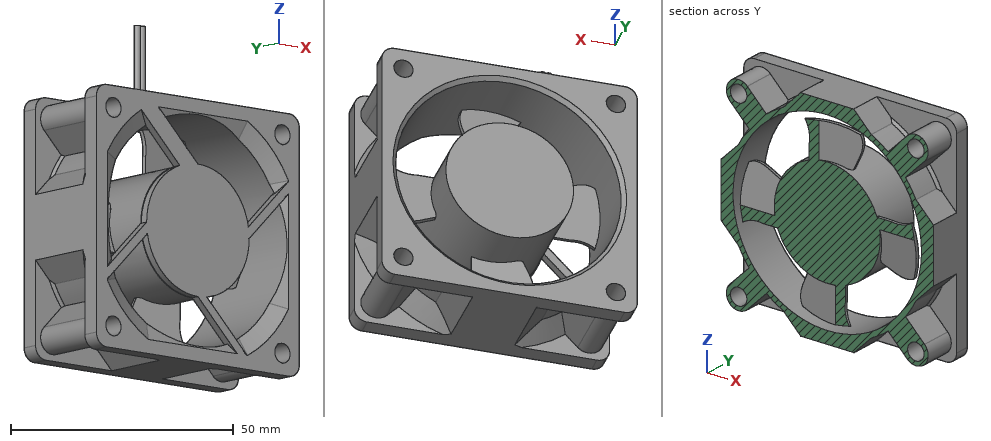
import cadquery as cq
import math


frame_side = 60.0
frame_depth = 25.0
frame_corner_radius = 3.0
flange_thickness = 4.0
wall_outer_half_width = 7.5
wall_inner_reach = 22.5
screw_offset = 25.0
screw_hole_radius = 2.25
post_radius = 3.5

bore_radius = 26.5
duct_radius = 28.0
front_flare_start = 9.1
front_flare_slope = 0.67
rear_flare_length = 0.9
rear_flare_growth = 0.45
bell_depth = 1.9
bell_radius = 30.5
bell_half_side = 26.8
rear_chamfer = 1.0

hub_radius = 15.15
rotor_radius = 15.0
strut_thickness = 2.0
strut_outer_offset = hub_radius / math.sqrt(2)
strut_width = 2.0
strut_angles = (45, -45, 135)
cable_arm_width = 4.5
cable_arm_angle = 225
strut_end = 30.75

blade_count = 4
blade_tip_radius = 24.7
blade_thickness = 1.0
blade_pitch = 8.5
blade_y = 12.8
leading_half_width = 5.2
leading_straight_end = 18.0
leading_middle = (-5.3, 21.6)
leading_tip_x = -6.3
trailing_tip_x = 8.25
trailing_curve = [(8.85, 20.6), (8.55, 19.05), (6.45, 14.2)]
blade_root = 13.5

wire_radius = 0.75
wire_spacing = 1.4
wire_x = -15.45
wire_y = 2.0
wire_length = 15.0
wire_embed = 0.75

half_side = frame_side / 2
rear_flange_y = frame_depth - flange_thickness


def front_plane(y):
    """Plane across the fan axis at depth y, with local axes along X and Z."""
    return cq.Workplane("XZ", origin=(0, y, 0))


def about_axis(shape, degrees):
    return shape.rotate((0, 0, 0), (0, 1, 0), degrees)


def square_block(y, depth):
    block = front_plane(y).rect(frame_side, frame_side).extrude(-depth)
    return block.edges("|Y").fillet(frame_corner_radius)


def duct_wall():
    """Solid of revolution following the outside of the duct between the flanges."""
    front_growth = (front_flare_start - flange_thickness) * front_flare_slope
    profile = [
        (0, flange_thickness),
        (duct_radius + front_growth, flange_thickness),
        (duct_radius, front_flare_start),
        (duct_radius, rear_flange_y - rear_flare_length),
        (duct_radius + rear_flare_growth, rear_flange_y),
        (0, rear_flange_y),
    ]
    return cq.Workplane("XY").polyline(profile).close().revolve(360, (0, 0), (0, 1))


def side_wall(length):
    """Wall at the middle of the top side, widening inward at 45 degrees."""
    inner_half_width = wall_outer_half_width + half_side - wall_inner_reach
    outline = [
        (-wall_outer_half_width, half_side),
        (wall_outer_half_width, half_side),
        (inner_half_width, wall_inner_reach),
        (-inner_half_width, wall_inner_reach),
    ]
    return front_plane(flange_thickness).polyline(outline).close().extrude(-length)


def corner_post(length):
    """Screw post joined to the duct by a web as wide as the post."""
    post_distance = screw_offset * math.sqrt(2)
    start = front_plane(flange_thickness)
    post = start.center(post_distance, 0).circle(post_radius).extrude(-length)
    web_length = post_distance - bore_radius
    web_middle = (post_distance + bore_radius) / 2
    web = start.center(web_middle, 0).rect(web_length, 2 * post_radius).extrude(-length)
    return about_axis(post.union(web), 45)


def bell_mouth():
    """Drafted inlet: a cone trimmed by four planes of the same draft."""
    draft = bell_radius - bore_radius
    cone_profile = [(0, 0), (bell_radius, 0), (bore_radius, bell_depth), (0, bell_depth)]
    cone = cq.Workplane("XY").polyline(cone_profile).close().revolve(360, (0, 0), (0, 1))
    front_side = 2 * bell_half_side
    rear_side = front_side - 2 * draft
    pyramid = (
        front_plane(0)
        .rect(front_side, front_side)
        .workplane(offset=-bell_depth)
        .rect(rear_side, rear_side)
        .loft()
    )
    return cone.intersect(pyramid)


def rear_mouth():
    """Conical chamfer around the rear end of the bore."""
    profile = [
        (0, frame_depth - rear_chamfer),
        (bore_radius, frame_depth - rear_chamfer),
        (bore_radius + rear_chamfer, frame_depth),
        (0, frame_depth),
    ]
    return cq.Workplane("XY").polyline(profile).close().revolve(360, (0, 0), (0, 1))


def frame():
    gap = rear_flange_y - flange_thickness
    core = duct_wall()
    for quarter in range(4):
        core = core.union(about_axis(side_wall(gap), 90 * quarter))
        core = core.union(about_axis(corner_post(gap), 90 * quarter))
    body = core.intersect(square_block(0, frame_depth))
    body = body.union(square_block(0, flange_thickness))
    body = body.union(square_block(rear_flange_y, flange_thickness))
    body = body.cut(front_plane(0).circle(bore_radius).extrude(-frame_depth))
    body = body.cut(bell_mouth()).cut(rear_mouth())
    screw_holes = (
        front_plane(0)
        .rect(2 * screw_offset, 2 * screw_offset, forConstruction=True)
        .vertices()
        .circle(screw_hole_radius)
        .extrude(-frame_depth)
    )
    return body.cut(screw_holes)


def strut(width, degrees):
    """Bar to the right of the hub, its lower edge at the outer offset, turned about the axis."""
    middle = width / 2 - strut_outer_offset
    bar = (
        front_plane(0)
        .center(strut_end / 2, middle)
        .rect(strut_end, width)
        .extrude(-strut_thickness)
    )
    return about_axis(bar, degrees)


def tip_point(x):
    return (x, math.sqrt(blade_tip_radius**2 - x**2))


def blade():
    """Flat pitched blade pointing up, with one swept and one straight-rooted edge."""
    plate = (
        front_plane(0)
        .moveTo(-leading_half_width, blade_root)
        .lineTo(-leading_half_width, leading_straight_end)
        .threePointArc(leading_middle, tip_point(leading_tip_x))
        .threePointArc(tip_point(0), tip_point(trailing_tip_x))
        .spline(trailing_curve, includeCurrent=True)
        .close()
        .extrude(-blade_thickness)
    )
    return plate.rotate((0, 0, 0), (0, 0, 1), blade_pitch).translate((0, blade_y, 0))


def hub_and_rotor():
    body = front_plane(0).circle(rotor_radius).extrude(-frame_depth)
    body = body.union(front_plane(0).circle(hub_radius).extrude(-strut_thickness))
    for index in range(blade_count):
        body = body.union(about_axis(blade(), 360 / blade_count * index))
    return body


def wire(x):
    """Lead rising from the top face, beside the wide strut."""
    return (
        cq.Workplane("XY", origin=(x, wire_y, half_side - wire_embed))
        .circle(wire_radius)
        .extrude(wire_length + wire_embed)
    )


result = frame().union(hub_and_rotor())
for degrees in strut_angles:
    result = result.union(strut(strut_width, degrees))
result = result.union(strut(cable_arm_width, cable_arm_angle))
for side in (-1, 1):
    result = result.union(wire(wire_x + side * wire_spacing / 2))